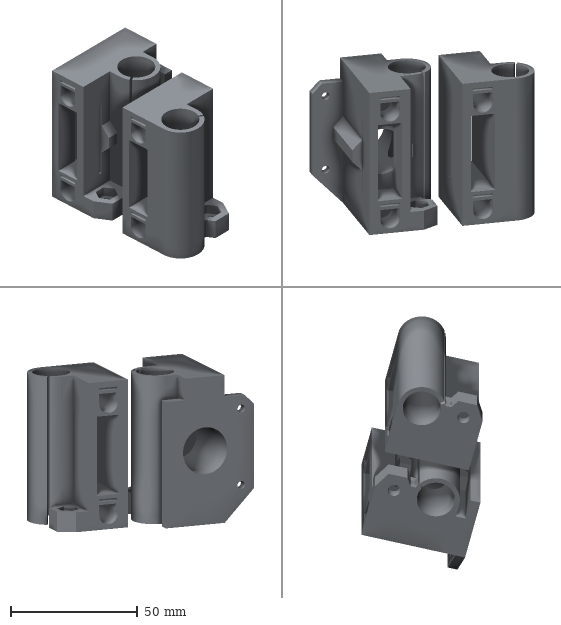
import cadquery as cq

HEIGHT = 60.0
BLOCK_WIDTH = 17.0
ARM_DEPTH = 34.3

SENSOR_X = 12.6
EMITTER_X = 50.9

TUBE_RADIUS = 9.5
ROD_RADIUS = 7.5
TOTAL_WIDTH = 82.8
TUBE_OFFSET_X = TOTAL_WIDTH - TUBE_RADIUS - EMITTER_X
GAP_WIDTH = 1.0
GAP_ANGLE = 60

EAR_HEIGHT = 8.0
EAR_RADIUS = 7.7
EAR_NECK = 3.3
NUT_RADIUS = 4.55
NUT_DEPTH = EAR_HEIGHT / 2
SCREW_RADIUS = 2.5

WINDOW_WIDTH = 9.9
WINDOW_HEIGHT = 32.15
SIDE_SLIT = 1.1
SOCKET_WIDTH = 8.0
SOCKET_HEIGHT = 8.1
SOCKET_TOPS = (10.1, 55.2)
STRIP_HEIGHT = 1.0
STRIP_RISE = 1.3

EMITTER_SLIT_Y = 18.9
SENSOR_SLIT_Y = 9.45

SENSOR_DEPTH = 42.25
BARREL_START = SENSOR_SLIT_Y + SIDE_SLIT
BARREL_HALF_WIDTH = 12.5
BARREL_TIP = 2.5
BORE_RADIUS = 9.5
BARREL_WALL = 2.0
BORE_START = BARREL_START + BARREL_WALL
PLATE_THICKNESS = 4.0
PLATE_TOP = 51.2
PLATE_RIGHT = 37.9
PLATE_CORNER = 4.0
PLATE_SLOPE_HEIGHT = 12.9
PLATE_HOLE_RADIUS = 1.6
PLATE_HOLE_X = 5.5
PLATE_HOLE_HEIGHTS = (14.75, 45.7)


def box(x, y, z, width, depth, height):
    """Box with its lowest corner at (x, y, z)."""
    return cq.Workplane("XY").box(width, depth, height, centered=False).translate((x, y, z))


def prism_y(outline, start, end):
    """Closed XZ outline filled from y = start to y = end."""
    return outline.extrude(-(end - start)).translate((0, start, 0))


def rod_clamp():
    """Block with the tube at y = TUBE_RADIUS and the ear towards the back, left face at x = 0."""
    tube_center = (TUBE_OFFSET_X, TUBE_RADIUS)
    body = box(0, 0, 0, BLOCK_WIDTH, ARM_DEPTH, HEIGHT)
    body = body.union(box(0, 0, 0, TUBE_OFFSET_X, 2 * TUBE_RADIUS, HEIGHT))
    body = body.union(cq.Workplane("XY").center(*tube_center).circle(TUBE_RADIUS).extrude(HEIGHT))
    return body.union(ear())


def screw_center():
    """XY place of the clamping screw."""
    return (TUBE_OFFSET_X, ARM_DEPTH - EAR_RADIUS)


def hexagon(radius, height):
    """Hexagonal prism about the screw axis with corners pointing along Y."""
    x, y = screw_center()
    prism = cq.Workplane("XY").polygon(6, 2 * radius).extrude(height)
    return prism.rotate((0, 0, 0), (0, 0, 1), 90).translate((x, y, 0))


def ear():
    """Hexagonal screw ear joined to the block and the tube."""
    shape = hexagon(EAR_RADIUS, EAR_HEIGHT)
    root = box(0, TUBE_RADIUS, 0, TUBE_OFFSET_X, ARM_DEPTH - TUBE_RADIUS, EAR_HEIGHT)
    neck_length = screw_center()[1] - TUBE_RADIUS
    neck = box(0, TUBE_RADIUS, 0, TUBE_OFFSET_X + EAR_NECK, neck_length, EAR_HEIGHT)
    return shape.union(root).union(neck)


def clamp_openings():
    """Rod bore, clamping gap, nut recess and screw hole."""
    rod = cq.Workplane("XY").center(TUBE_OFFSET_X, TUBE_RADIUS).circle(ROD_RADIUS).extrude(HEIGHT)
    gap = box(0, -GAP_WIDTH / 2, 0, 2 * TUBE_RADIUS, GAP_WIDTH, HEIGHT)
    gap = gap.rotate((0, 0, 0), (0, 0, 1), GAP_ANGLE).translate((TUBE_OFFSET_X, TUBE_RADIUS, 0))
    nut = hexagon(NUT_RADIUS, NUT_DEPTH).translate((0, 0, EAR_HEIGHT - NUT_DEPTH))
    screw = cq.Workplane("XY").center(*screw_center()).circle(SCREW_RADIUS).extrude(EAR_HEIGHT)
    return rod.union(nut).union(screw).union(gap)


def socket(top, depth):
    """Flat-topped, round-bottomed socket."""
    half = SOCKET_WIDTH / 2
    middle = BLOCK_WIDTH / 2
    outline = (
        cq.Workplane("XZ")
        .moveTo(middle - half, top)
        .lineTo(middle + half, top)
        .lineTo(middle + half, top - SOCKET_HEIGHT + half)
        .threePointArc((middle, top - SOCKET_HEIGHT), (middle - half, top - SOCKET_HEIGHT + half))
        .close()
    )
    return prism_y(outline, 0, depth)


def front_openings(depth, slit_y):
    """Window, sockets and strips running back from the front face, and the slit across the block."""
    window_bottom = (HEIGHT - WINDOW_HEIGHT) / 2
    window_left = (BLOCK_WIDTH - WINDOW_WIDTH) / 2
    strip_left = (BLOCK_WIDTH - SOCKET_WIDTH) / 2
    cuts = box(window_left, 0, window_bottom, WINDOW_WIDTH, depth, WINDOW_HEIGHT)
    cuts = cuts.union(box(0, slit_y, window_bottom, BLOCK_WIDTH, SIDE_SLIT, WINDOW_HEIGHT))
    for top in SOCKET_TOPS:
        cuts = cuts.union(socket(top, depth))
        cuts = cuts.union(box(strip_left, 0, top + STRIP_RISE, SOCKET_WIDTH, depth, STRIP_HEIGHT))
    return cuts


def flipped(shape):
    """Mirror front to back within the arm depth."""
    return shape.mirror("XZ").translate((0, ARM_DEPTH, 0))


def lens_barrel():
    """Barrel that stands out of both sides of the block."""
    middle = BLOCK_WIDTH / 2
    root = BARREL_TIP + BARREL_HALF_WIDTH - middle
    points = [
        (middle - BARREL_HALF_WIDTH, -BARREL_TIP),
        (0, -root),
        (BLOCK_WIDTH, -root),
        (middle + BARREL_HALF_WIDTH, -BARREL_TIP),
        (middle + BARREL_HALF_WIDTH, BARREL_TIP),
        (BLOCK_WIDTH, root),
        (0, root),
        (middle - BARREL_HALF_WIDTH, BARREL_TIP),
    ]
    outline = cq.Workplane("XZ").polyline(points).close()
    return prism_y(outline, BARREL_START, SENSOR_DEPTH).translate((0, 0, HEIGHT / 2))


def mounting_plate():
    """Plate at the back of the sensor clamp, its left edge at x = 0."""
    points = [
        (0, PLATE_SLOPE_HEIGHT),
        (SENSOR_X, 0),
        (PLATE_RIGHT, 0),
        (PLATE_RIGHT, PLATE_TOP),
        (PLATE_CORNER, PLATE_TOP),
        (0, PLATE_TOP - PLATE_CORNER),
    ]
    outline = cq.Workplane("XZ").polyline(points).close()
    plate = prism_y(outline, SENSOR_DEPTH - PLATE_THICKNESS, SENSOR_DEPTH)
    hole_points = [(PLATE_HOLE_X, z) for z in PLATE_HOLE_HEIGHTS]
    holes = cq.Workplane("XZ").pushPoints(hole_points).circle(PLATE_HOLE_RADIUS)
    return plate.cut(prism_y(holes, SENSOR_DEPTH - PLATE_THICKNESS, SENSOR_DEPTH))


def sensor_clamp():
    """Clamp with its ear in front, carrying the lens barrel and the mounting plate."""
    bore_outline = cq.Workplane("XZ").center(BLOCK_WIDTH / 2, HEIGHT / 2).circle(BORE_RADIUS)
    bore = prism_y(bore_outline, BORE_START, SENSOR_DEPTH)
    body = flipped(rod_clamp())
    body = body.union(box(0, 0, 0, BLOCK_WIDTH, SENSOR_DEPTH, HEIGHT))
    body = body.union(lens_barrel())
    body = body.translate((SENSOR_X, 0, 0)).union(mounting_plate())
    cuts = flipped(clamp_openings()).union(front_openings(BORE_START, SENSOR_SLIT_Y)).union(bore)
    return body.cut(cuts.translate((SENSOR_X, 0, 0)))


def emitter_clamp():
    """Clamp with its ear at the back and openings right through."""
    body = rod_clamp().cut(clamp_openings()).cut(front_openings(ARM_DEPTH, EMITTER_SLIT_Y))
    return body.translate((EMITTER_X, 0, 0))


sensor = sensor_clamp()
emitter = emitter_clamp()
result = cq.Compound.makeCompound([sensor.val(), emitter.val()])